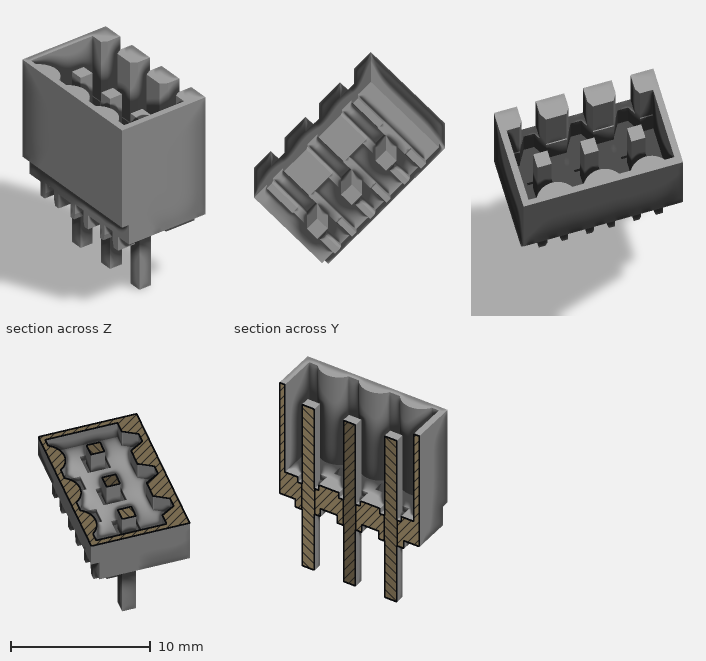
import cadquery as cq

WIDTH = 11.9
DEPTH = 7.45
HEIGHT = 15.55
FRONT_Y = -DEPTH / 2
REAR_Y = DEPTH / 2

PITCH = 3.5
CONTACT_XS = (-PITCH, 0, PITCH)
MID_XS = (-PITCH / 2, PITCH / 2)
PIN_Y = -0.22
PIN_SIZE = 1.05
PIN_TOP_Z = 14.37

BASE_Z = 5.68
STEP_Z = 7.34
STEP_DEPTH = 0.62
STEP_Y = FRONT_Y + STEP_DEPTH

FEET_WIDTH = 9.27
FEET_Z = 4.5
CHANNEL_ROOF_Z = 4.99
CHANNEL_FRONT_Y = -1.6
CHANNEL_REAR_Y = 1.17

GAP_WIDTH = 1.4
PIN_SLOT_WIDTH = 1.0
PIN_SLOT_MOUTH = 1.25
PIN_SLOT_ROOF_Z = 5.83

CAVITY_WIDTH = 10.92
CAVITY_FLOOR_Z = 7.78
CAVITY_REAR_Y = 2.18
CAVITY_FRONT_LEFT_Y = -3.33
CAVITY_FRONT_MIDDLE_Y = -3.27
CAVITY_FRONT_RIGHT_Y = -3.17
SCALLOP_RADIUS = 1.57
SCALLOP_Y = -4.12

KEY_TIP_Y = 3.17
KEY_TIP_WIDTH = 0.78
KEY_MOUTH_WIDTH = 1.96
REAR_SLOT_PITCH = 3.53
REAR_SLOT_XS = (-REAR_SLOT_PITCH, 0, REAR_SLOT_PITCH)
REAR_SLOT_WIDTH = 1.4
REAR_SLOT_FLOOR_Z = 10.51
LEDGE = 0.08

WELL_SIZE = 1.77
WELL_DEPTH = 0.47
POCKET_WIDTH = 1.4
POCKET_REAR_Y = -1.71
POCKET_BEND_Y = -2.21
POCKET_FRONT_Y = -2.61
POCKET_DEPTH = POCKET_BEND_Y - POCKET_FRONT_Y


def block(x_center, width, y0, y1, z0, z1):
    """Box centred on x_center, spanning y0..y1 and z0..z1."""
    return cq.Workplane("XY").box(width, y1 - y0, z1 - z0, centered=(True, False, False)).translate(
        (x_center, y0, z0)
    )


def make_pin(x):
    """Straight square contact pin."""
    half = PIN_SIZE / 2
    return block(x, PIN_SIZE, PIN_Y - half, PIN_Y + half, 0, PIN_TOP_Z)


def make_shell():
    """Outer block with a relieved lower front and two rows of feet."""
    shell = block(0, WIDTH, FRONT_Y, REAR_Y, STEP_Z, HEIGHT)
    shell = shell.union(block(0, WIDTH, STEP_Y, REAR_Y, BASE_Z, STEP_Z))
    feet = block(0, FEET_WIDTH, STEP_Y, REAR_Y, FEET_Z, BASE_Z)
    channel = block(0, FEET_WIDTH, CHANNEL_FRONT_Y, CHANNEL_REAR_Y, FEET_Z, CHANNEL_ROOF_Z)
    return shell.union(feet.cut(channel))


def make_cavity():
    """Mating space with a scalloped front wall and a thin ledge low on the rear wall."""
    half = CAVITY_WIDTH / 2
    cavity = (
        cq.Workplane("XY", origin=(0, 0, CAVITY_FLOOR_Z))
        .moveTo(-half, CAVITY_REAR_Y)
        .lineTo(-half, CAVITY_FRONT_LEFT_Y)
        .lineTo(-PITCH, CAVITY_FRONT_LEFT_Y)
        .lineTo(-PITCH, CAVITY_FRONT_MIDDLE_Y)
        .lineTo(PITCH, CAVITY_FRONT_MIDDLE_Y)
        .lineTo(PITCH, CAVITY_FRONT_RIGHT_Y)
        .lineTo(half, CAVITY_FRONT_RIGHT_Y)
        .lineTo(half, CAVITY_REAR_Y)
        .close()
        .extrude(HEIGHT - CAVITY_FLOOR_Z)
    )
    scallops = (
        cq.Workplane("XY", origin=(0, 0, CAVITY_FLOOR_Z))
        .pushPoints([(x, SCALLOP_Y) for x in CONTACT_XS])
        .circle(SCALLOP_RADIUS)
        .extrude(HEIGHT - CAVITY_FLOOR_Z)
    )
    ledge = block(
        0, CAVITY_WIDTH, CAVITY_REAR_Y - LEDGE, CAVITY_REAR_Y, CAVITY_FLOOR_Z, REAR_SLOT_FLOOR_Z
    )
    return cavity.cut(scallops).cut(ledge)


def make_keyway(x):
    """Tapered groove in the rear wall."""
    tip = KEY_TIP_WIDTH / 2
    mouth = KEY_MOUTH_WIDTH / 2
    mouth_y = CAVITY_REAR_Y - LEDGE
    return (
        cq.Workplane("XY", origin=(x, 0, CAVITY_FLOOR_Z))
        .polyline([
            (-tip, KEY_TIP_Y),
            (-mouth, CAVITY_REAR_Y),
            (-mouth, mouth_y),
            (mouth, mouth_y),
            (mouth, CAVITY_REAR_Y),
            (tip, KEY_TIP_Y),
        ])
        .close()
        .extrude(HEIGHT - CAVITY_FLOOR_Z)
    )


def make_rear_slot(x):
    """Slot that opens the upper part of a keyway through the rear wall."""
    return block(x, REAR_SLOT_WIDTH, CAVITY_REAR_Y, REAR_Y, REAR_SLOT_FLOOR_Z, HEIGHT)


def make_well(x):
    """Square recess in the cavity floor around a pin."""
    half = WELL_SIZE / 2
    return block(x, WELL_SIZE, PIN_Y - half, PIN_Y + half, CAVITY_FLOOR_Z - WELL_DEPTH, CAVITY_FLOOR_Z)


def make_floor_pocket(x):
    """Floor pocket with a sloped front side."""
    bottom_z = CAVITY_FLOOR_Z - POCKET_DEPTH
    return (
        cq.Workplane("YZ", origin=(x, 0, 0))
        .polyline([
            (POCKET_REAR_Y, CAVITY_FLOOR_Z),
            (POCKET_FRONT_Y, CAVITY_FLOOR_Z),
            (POCKET_BEND_Y, bottom_z),
            (POCKET_REAR_Y, bottom_z),
        ])
        .close()
        .extrude(POCKET_WIDTH / 2, both=True)
    )


def make_pin_slot(x):
    """Slot through both feet in line with a pin, flared below the channel roof."""
    top = PIN_SLOT_WIDTH / 2
    mouth = PIN_SLOT_MOUTH / 2
    return (
        cq.Workplane("XZ", origin=(x, REAR_Y, 0))
        .polyline([
            (-top, PIN_SLOT_ROOF_Z),
            (-top, CHANNEL_ROOF_Z),
            (-mouth, FEET_Z),
            (mouth, FEET_Z),
            (top, CHANNEL_ROOF_Z),
            (top, PIN_SLOT_ROOF_Z),
        ])
        .close()
        .extrude(REAR_Y - STEP_Y)
    )


def make_housing():
    """Open-topped header housing with square holes that fit the pins."""
    housing = make_shell().cut(make_cavity())
    for x in CONTACT_XS:
        housing = housing.cut(make_keyway(x))
        housing = housing.cut(make_well(x))
        housing = housing.cut(make_pin_slot(x))
        housing = housing.cut(make_pin(x))
    for x in REAR_SLOT_XS:
        housing = housing.cut(make_rear_slot(x))
    for x in MID_XS:
        housing = housing.cut(make_floor_pocket(x))
        housing = housing.cut(block(x, GAP_WIDTH, STEP_Y, CHANNEL_REAR_Y, FEET_Z, BASE_Z))
    return housing.solids()


housing = make_housing()
pins = [make_pin(x) for x in CONTACT_XS]

result = cq.Compound.makeCompound([housing.val(), *[pin.val() for pin in pins]])